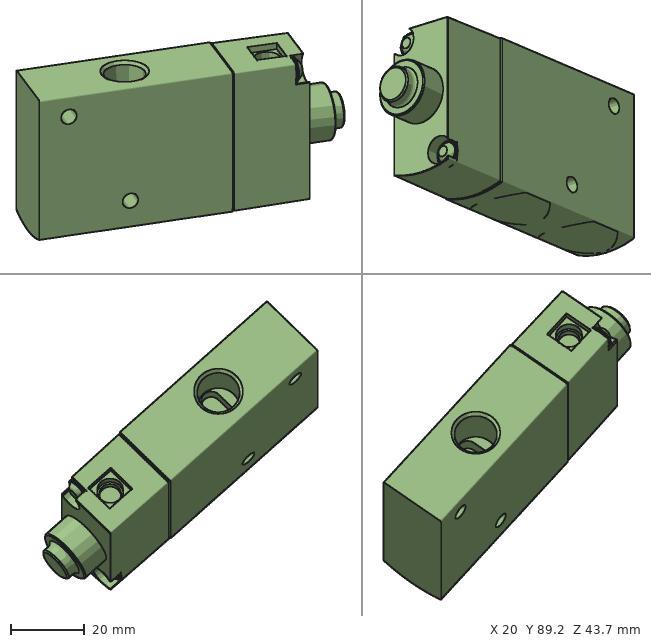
import cadquery as cq
import math

BODY_WIDTH = 20.0
BODY_LENGTH = 55.0
BODY_SIDE_HEIGHT = 42.0
CROWN_RADIUS = 30.0
EDGE_FILLET = 0.6
HALF_WIDTH = BODY_WIDTH / 2
CROWN_HEIGHT = CROWN_RADIUS - math.sqrt(CROWN_RADIUS**2 - HALF_WIDTH**2)
BODY_TOP = CROWN_HEIGHT + BODY_SIDE_HEIGHT
MID_HEIGHT = CROWN_HEIGHT + BODY_SIDE_HEIGHT / 2

PORT_PITCH = 14.1
PORT_Y = 25.8
TOP_PORT_Y = 27.6
PORT_DIAMETER = 11.45
PORT_MOUTH_DIAMETER = 13.2
PORT_DEPTH = 12.0
PORT_SLOT_LENGTH = 11.0
PORT_SLOT_WIDTH = 5.4
PORT_SLOT_DEPTH = 4.0
LANDING_FLAT_LENGTH = 9.8
LANDING_MOUTH_LENGTH = 21.2

MOUNT_HOLE_DIAMETER = 4.4
MOUNT_HOLES = [(8.4, BODY_TOP - 6.1), (25.9, BODY_TOP - 34.1)]

NECK_LENGTH = 0.5
NECK_INSET = 0.7
HEAD_INSET = 0.2
HEAD_LENGTH = 21.7
HEAD_DROP = 0.06
HEAD_DRAFT = 0.5
HEAD_FILLET = 0.5
HEAD_END_CHAMFER = 0.15
HEAD_START = BODY_LENGTH + NECK_LENGTH
HEAD_END = HEAD_START + HEAD_LENGTH

OVERRIDE_Y = 68.1
OVERRIDE_SQUARE = 8.4
OVERRIDE_SQUARE_DEPTH = 2.0
OVERRIDE_DIAMETER = 7.12
OVERRIDE_DEPTH = 2.5
OVERRIDE_CORE_DIAMETER = 5.92
OVERRIDE_CORE_DEPTH = 2.0

CONNECTOR_DIAMETER = 15.9
CONNECTOR_LENGTH = 8.05
CONNECTOR_CHAMFER = 0.35
STEM_DIAMETER = 10.0
FLARE_DIAMETER = 11.45
FLARE_LENGTH = 1.4
STEM_TIP_CHAMFER = 0.45
STEM_DOME_HEIGHT = 0.4
OVERALL_LENGTH = 89.2

SCREW_X = 6.5
SCREW_SPACING_Z = 34.7
SCREW_SEAT_Y = 73.25
SCREW_SHANK_DIAMETER = 3.0
SCREW_SHANK_LENGTH = 24.0
WASHER_DIAMETER = 6.8
WASHER_TEETH = 36
WASHER_TOOTH_DEPTH = 0.25
WASHER_THICKNESS = 0.8
SCREW_HEAD_DIAMETER = 5.92
SCREW_CROWN_DIAMETER = 3.0
SCREW_HEAD_HEIGHT = 1.6
SCREW_POCKET_DIAMETER = 7.9
CORNER_RELIEF_DROP = 3.0
UPPER_SCREW = (SCREW_X, MID_HEIGHT + SCREW_SPACING_Z / 2)
LOWER_SCREW = (-SCREW_X, MID_HEIGHT - SCREW_SPACING_Z / 2)


def crowned_section(start_y, inset):
    """Body cross-section at start_y, shrunk evenly by inset; extrudes towards +Y."""
    half = HALF_WIDTH - inset
    radius = CROWN_RADIUS - inset
    corner_z = CROWN_RADIUS - math.sqrt(radius**2 - half**2)
    top = BODY_TOP - inset
    return (
        cq.Workplane("XZ", origin=(0, start_y, 0))
        .moveTo(-half, top)
        .lineTo(-half, corner_z)
        .threePointArc((0, inset), (half, corner_z))
        .lineTo(half, top)
        .close()
    )


def cylinder_y(x, z, start_y, end_y, diameter):
    """Cylinder along Y between two stations."""
    plane = cq.Workplane("XZ", origin=(x, start_y, z))
    return plane.circle(diameter / 2).extrude(start_y - end_y)


def cylinder_down(y, top_z, depth, diameter):
    """Cylinder reaching down from top_z on the centre plane."""
    return cq.Workplane("XY", origin=(0, y, top_z)).circle(diameter / 2).extrude(-depth)


def revolve_about_y(half_profile, x, z):
    """Revolve a closed (radius, y) profile about the line parallel to Y through (x, z)."""
    return half_profile.revolve(360, (0, 0, 0), (0, 1, 0)).translate((x, 0, z))


def top_port():
    """Chamfered bore with an oblong passage in its floor."""
    bore = cylinder_down(TOP_PORT_Y, BODY_TOP, PORT_DEPTH, PORT_DIAMETER)
    mouth_depth = (PORT_MOUTH_DIAMETER - PORT_DIAMETER) / 2
    mouth = (
        cq.Workplane("XY", origin=(0, TOP_PORT_Y, BODY_TOP))
        .circle(PORT_MOUTH_DIAMETER / 2)
        .workplane(offset=-mouth_depth)
        .circle(PORT_DIAMETER / 2)
        .loft()
    )
    passage = (
        cq.Workplane("XY", origin=(0, TOP_PORT_Y, BODY_TOP - PORT_DEPTH))
        .slot2D(PORT_SLOT_LENGTH, PORT_SLOT_WIDTH)
        .extrude(-PORT_SLOT_DEPTH)
    )
    return bore.union(mouth).union(passage)


def landing_relief(y):
    """Trapezoidal channel across the crown, flat at the level of the crown's edges."""
    return (
        cq.Workplane("YZ", origin=(-HALF_WIDTH, y, 0))
        .moveTo(-LANDING_MOUTH_LENGTH / 2, 0)
        .lineTo(-LANDING_FLAT_LENGTH / 2, CROWN_HEIGHT)
        .lineTo(LANDING_FLAT_LENGTH / 2, CROWN_HEIGHT)
        .lineTo(LANDING_MOUTH_LENGTH / 2, 0)
        .close()
        .extrude(BODY_WIDTH)
    )


def toothed_washer(x, z):
    """Washer with pointed teeth all round its rim."""
    tip = WASHER_DIAMETER / 2
    root = tip - WASHER_TOOTH_DEPTH
    points = []
    for step in range(2 * WASHER_TEETH):
        radius = tip if step % 2 == 0 else root
        angle = step * math.pi / WASHER_TEETH
        points.append((radius * math.cos(angle), radius * math.sin(angle)))
    plane = cq.Workplane("XZ", origin=(x, SCREW_SEAT_Y, z))
    return plane.polyline(points).close().extrude(-WASHER_THICKNESS)


def screw(x, z):
    """Domed screw with a captive toothed washer and a plain shank."""
    washer_top = SCREW_SEAT_Y + WASHER_THICKNESS
    head_top = washer_top + SCREW_HEAD_HEIGHT
    shank_end = SCREW_SEAT_Y - SCREW_SHANK_LENGTH
    rim = SCREW_HEAD_DIAMETER / 2
    crown = SCREW_CROWN_DIAMETER / 2
    shank = SCREW_SHANK_DIAMETER / 2
    profile = (
        cq.Workplane("XY")
        .moveTo(0, shank_end)
        .lineTo(shank, shank_end)
        .lineTo(shank, SCREW_SEAT_Y)
        .lineTo(rim, SCREW_SEAT_Y)
        .lineTo(rim, washer_top)
        .radiusArc((crown, head_top), -rim)
        .lineTo(0, head_top)
        .close()
    )
    return revolve_about_y(profile, x, z).union(toothed_washer(x, z))


def screw_clearance(x, z):
    """Space for a screw: shank hole and a round pocket that breaks out of the head's sides."""
    shank = cylinder_y(x, z, SCREW_SEAT_Y - SCREW_SHANK_LENGTH, SCREW_SEAT_Y, SCREW_SHANK_DIAMETER)
    pocket = cylinder_y(x, z, SCREW_SEAT_Y, HEAD_END, SCREW_POCKET_DIAMETER)
    return shank.union(pocket)


def corner_relief(x, z):
    """Notch that removes the thin corner left outside the upper screw pocket."""
    corner = (HALF_WIDTH, BODY_TOP)
    return (
        cq.Workplane("XZ", origin=(0, SCREW_SEAT_Y, 0))
        .moveTo(x, z - CORNER_RELIEF_DROP)
        .lineTo(corner[0], z - CORNER_RELIEF_DROP)
        .lineTo(*corner)
        .lineTo(x, corner[1])
        .close()
        .extrude(SCREW_SEAT_Y - HEAD_END)
    )


def connector():
    """Stepped round connector with a flared stem and a shallow domed tip."""
    shoulder = HEAD_END + CONNECTOR_LENGTH
    outer = CONNECTOR_DIAMETER / 2
    stem = STEM_DIAMETER / 2
    flare = FLARE_DIAMETER / 2
    flare_step = flare - stem
    flare_radius = (flare_step**2 + FLARE_LENGTH**2) / (2 * flare_step)
    dome_base = OVERALL_LENGTH - STEM_DOME_HEIGHT
    dome_rim = stem - STEM_TIP_CHAMFER
    dome_radius = (dome_rim**2 + STEM_DOME_HEIGHT**2) / (2 * STEM_DOME_HEIGHT)
    profile = (
        cq.Workplane("XY")
        .moveTo(0, HEAD_END)
        .lineTo(outer, HEAD_END)
        .lineTo(outer, shoulder - CONNECTOR_CHAMFER)
        .lineTo(outer - CONNECTOR_CHAMFER, shoulder)
        .lineTo(flare, shoulder)
        .radiusArc((stem, shoulder + FLARE_LENGTH), flare_radius)
        .lineTo(stem, dome_base - STEM_TIP_CHAMFER)
        .lineTo(dome_rim, dome_base)
        .radiusArc((0, OVERALL_LENGTH), -dome_radius)
        .close()
    )
    return revolve_about_y(profile, 0, MID_HEIGHT)


def override_opening():
    """Square recess with a stepped round hole in its floor."""
    top = BODY_TOP - HEAD_INSET - HEAD_DROP
    floor = top - OVERRIDE_SQUARE_DEPTH
    square = (
        cq.Workplane("XY", origin=(0, OVERRIDE_Y, top))
        .rect(OVERRIDE_SQUARE, OVERRIDE_SQUARE)
        .extrude(-OVERRIDE_SQUARE_DEPTH)
    )
    hole = cylinder_down(OVERRIDE_Y, floor, OVERRIDE_DEPTH, OVERRIDE_DIAMETER)
    core = cylinder_down(
        OVERRIDE_Y, floor - OVERRIDE_DEPTH, OVERRIDE_CORE_DEPTH, OVERRIDE_CORE_DIAMETER
    )
    return square.union(hole).union(core)


screw_space = screw_clearance(*UPPER_SCREW).union(screw_clearance(*LOWER_SCREW))

body = crowned_section(0, 0).extrude(-BODY_LENGTH).edges("|Y").fillet(EDGE_FILLET)
body = body.cut(top_port())
for side in (-1, 1):
    body = body.cut(landing_relief(PORT_Y + side * PORT_PITCH))
body = body.cut(
    cq.Workplane("YZ", origin=(-HALF_WIDTH, 0, 0))
    .pushPoints(MOUNT_HOLES)
    .circle(MOUNT_HOLE_DIAMETER / 2)
    .extrude(BODY_WIDTH)
)
body = body.cut(screw_space)

head = crowned_section(HEAD_START, HEAD_INSET).extrude(-HEAD_LENGTH, taper=HEAD_DRAFT)
head = head.edges("not(#Y)").edges("not(<Y or >Y)").fillet(HEAD_FILLET)
head = head.faces(">Y").edges().chamfer(HEAD_END_CHAMFER).translate((0, 0, -HEAD_DROP))
head = head.union(crowned_section(BODY_LENGTH, NECK_INSET).extrude(-NECK_LENGTH))
head = head.cut(override_opening()).cut(screw_space).cut(corner_relief(*UPPER_SCREW)).union(connector())

screws = [screw(*place) for place in (UPPER_SCREW, LOWER_SCREW)]

result = cq.Compound.makeCompound([body.val(), head.val(), *[item.val() for item in screws]])